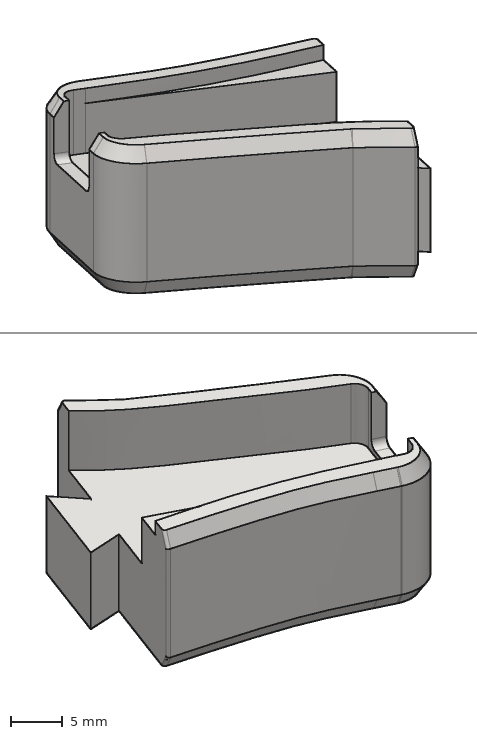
import cadquery as cq
import math

HEIGHT = 15.4
LENGTH = 30.07
TURN = -25
CENTRE_X = 2.37
CENTRE_Y = 17.5

FRONT_LEFT = (-10.3, 0)
LEFT_START = (-10.3, 4.6)
LEFT_CURVE = [(-10.4, 14.05), (-11.5, 22.5), (-12.9, LENGTH)]
FRONT_RIGHT = (9.65, 0)
RIGHT_MIDDLE = (11.75, 14.17)
FLARE_START = (13.5, 23.98)
FLARE_MIDDLE = (14.4, 26.67)
RIGHT_TIP = (15.73, LENGTH)
STRAIGHT_BACK = (0, 1)
TIP_DIRECTION = (-0.2, 1)
FLARE_SLOPE = 0.4
OVERRUN = 2.85
CORNER_RADIUS = 4.45
TIP_RADIUS = 0.32

BEVEL_HEIGHT = 1.55
BEVEL_WIDTH = 1.03

FLOOR_DEPTH = 6.73
FRONT_WALL = 1.6
INNER_RADIUS = 1.4
INNER_LEFT_X = -7.2
INNER_LEFT_CURVE = [(-7.35, 13.5), (-8.32, 22.17), (-9.8, LENGTH)]
INNER_FRONT_RIGHT = (6.8, FRONT_WALL)
INNER_RIGHT_CURVE = [(7.75, 8.9), (8.8, 14.65), (10.85, 25.5), (12.5, LENGTH)]

WEDGE_START = (INNER_LEFT_X, 4.25)
WEDGE_BACK_X = -6.35
WEDGE_OVERLAP = 1.05

NOTCH_WIDTH = 9.35
NOTCH_DEPTH = 6.13
NOTCH_RADIUS = 0.85

DOVETAIL_X = 3.1
DOVETAIL_NECK = 7.15
DOVETAIL_WIDTH = 11.48
DOVETAIL_LENGTH = 3.83

FLOOR_Z = HEIGHT - FLOOR_DEPTH
WEDGE_TOP = HEIGHT - BEVEL_HEIGHT


def make_body():
    """Flared block with rounded front corners, bevelled all round except at the back."""
    left_end = (LEFT_CURVE[-1][0] + TIP_DIRECTION[0] * OVERRUN, LENGTH + OVERRUN)
    right_end = (RIGHT_TIP[0] + FLARE_SLOPE * OVERRUN, LENGTH + OVERRUN)
    straight_height = HEIGHT - 2 * BEVEL_HEIGHT
    middle = (
        cq.Workplane("XY", origin=(0, 0, BEVEL_HEIGHT))
        .moveTo(*FRONT_LEFT)
        .lineTo(*LEFT_START)
        .spline(LEFT_CURVE, tangents=[STRAIGHT_BACK, TIP_DIRECTION], includeCurrent=True)
        .lineTo(*left_end)
        .lineTo(*right_end)
        .lineTo(*RIGHT_TIP)
        .threePointArc(FLARE_MIDDLE, FLARE_START)
        .threePointArc(RIGHT_MIDDLE, FRONT_RIGHT)
        .close()
        .extrude(straight_height)
    )
    middle = middle.faces("<Y").edges("|Z").fillet(CORNER_RADIUS)

    outline = middle.faces(">Z").wires().val()
    bevel_angle = math.degrees(math.atan2(BEVEL_WIDTH, BEVEL_HEIGHT))
    top = cq.Workplane("XY").add(outline).toPending().extrude(BEVEL_HEIGHT, taper=bevel_angle)
    bottom = top.mirror("XY", (0, 0, HEIGHT / 2))
    overrun_block = (
        cq.Workplane("XY")
        .box(2 * LENGTH, 2 * OVERRUN, HEIGHT, centered=(True, False, False))
        .translate((0, LENGTH, 0))
    )
    body = middle.union(top).union(bottom).cut(overrun_block)
    return body.faces(">Y").edges("not #Z").fillet(TIP_RADIUS)


def make_cavity():
    """Space between the walls, open at the top and the back."""
    cavity = (
        cq.Workplane("XY", origin=(0, 0, FLOOR_Z))
        .moveTo(INNER_LEFT_X, FRONT_WALL)
        .lineTo(*WEDGE_START)
        .spline(INNER_LEFT_CURVE, tangents=[STRAIGHT_BACK, TIP_DIRECTION], includeCurrent=True)
        .lineTo(*INNER_RIGHT_CURVE[-1])
        .spline(INNER_RIGHT_CURVE[-2::-1] + [INNER_FRONT_RIGHT], includeCurrent=True)
        .close()
        .extrude(FLOOR_DEPTH)
    )
    return cavity.faces("<Y").edges("|Z").fillet(INNER_RADIUS)


def make_wedge():
    """Low filler between the flared left wall and a straight inner edge."""
    back_left_x = INNER_LEFT_CURVE[-1][0]
    outline = [WEDGE_START, (WEDGE_BACK_X, LENGTH), (back_left_x - WEDGE_OVERLAP, LENGTH)]
    outline += [(x - WEDGE_OVERLAP, y) for x, y in INNER_LEFT_CURVE[-2::-1]]
    return cq.Workplane("XY").polyline(outline).close().extrude(WEDGE_TOP)


def make_notch():
    """Opening through the front wall with rounded bottom corners."""
    return (
        cq.Workplane("XY")
        .box(NOTCH_WIDTH, 2 * FRONT_WALL, 2 * NOTCH_DEPTH)
        .edges("|Y and <Z")
        .fillet(NOTCH_RADIUS)
        .translate((0, 0, HEIGHT))
    )


def make_dovetail():
    """Tongue that widens away from the back face, level with the floor."""
    neck = DOVETAIL_NECK / 2
    wide = DOVETAIL_WIDTH / 2
    outline = [(-neck, 0), (-wide, DOVETAIL_LENGTH), (wide, DOVETAIL_LENGTH), (neck, 0)]
    return (
        cq.Workplane("XY", origin=(DOVETAIL_X, LENGTH, 0))
        .polyline(outline)
        .close()
        .extrude(FLOOR_Z)
    )


part = make_body().cut(make_cavity()).cut(make_notch())
part = part.union(make_wedge()).union(make_dovetail())
result = part.translate((-CENTRE_X, -CENTRE_Y, 0)).rotate((0, 0, 0), (0, 0, 1), TURN)